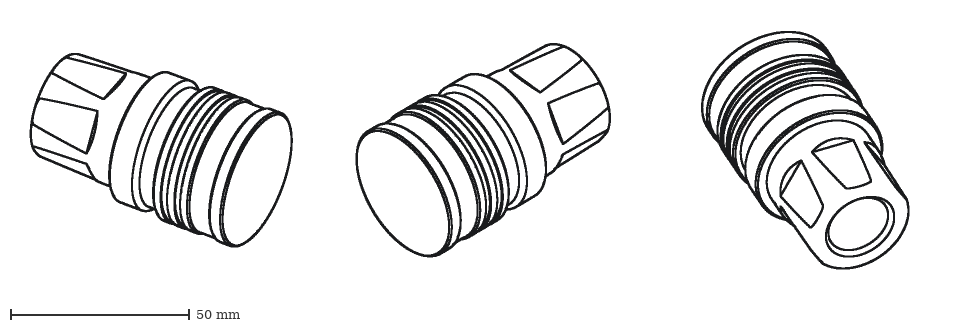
import cadquery as cq
import math

length = 65.15

nose_face_radius = 14.15
nose_rounding = 1.5
cone_start_radius = 15.4
cone_end = 21.8
shank_radius = 16.3
flat_count = 6
flat_distance = 14.85
flat_end = 19.0
flat_runout_angle = 45.0

collar_start = 28.1
collar_bevel_start = 35.75
neck_start = 37.25
collar_radius = 19.5
neck_radius = 17.85

sleeve_start = 42.6
sleeve_radius = 19.5
band_radius = 20.0
bands = [(sleeve_start, 45.35), (47.4, 49.8), (51.65, 54.4), (60.8, length)]
edge_chamfer = 0.5

bore_mouth_radius = 10.5
bore_radius = 9.2
bore_floor_radius = 8.9
bore_chamfer_depth = 1.3
bore_depth = 39.1


def revolve_about_x(points):
    """Revolve a closed (x, radius) outline about the X axis."""
    return cq.Workplane("XY").polyline(points).close().revolve(360, (0, 0, 0), (1, 0, 0))


def disc(start, end, radius):
    """Solid cylinder along X between two stations."""
    return cq.Workplane("YZ").workplane(offset=start).circle(radius).extrude(end - start)


def make_nose():
    quarter_mid = math.sqrt(0.5)
    middle = (
        nose_rounding * (1 - quarter_mid),
        nose_face_radius + (cone_start_radius - nose_face_radius) * quarter_mid,
    )
    return (
        cq.Workplane("XY")
        .lineTo(0, nose_face_radius)
        .threePointArc(middle, (nose_rounding, cone_start_radius))
        .lineTo(cone_end, shank_radius)
        .lineTo(collar_start, shank_radius)
        .lineTo(collar_start, 0)
        .close()
        .revolve(360, (0, 0, 0), (1, 0, 0))
    )


def make_flat_cutter():
    """Tool for the upper wrench flat, with a sloped run-out at its rear end."""
    height = band_radius - flat_distance
    runout = height / math.tan(math.radians(flat_runout_angle))
    return (
        cq.Workplane("XZ")
        .moveTo(0, flat_distance)
        .lineTo(flat_end, flat_distance)
        .lineTo(flat_end + runout, band_radius)
        .lineTo(0, band_radius)
        .close()
        .extrude(shank_radius, both=True)
    )


def make_collar():
    collar = revolve_about_x([
        (collar_start, 0),
        (collar_start, collar_radius - edge_chamfer),
        (collar_start + edge_chamfer, collar_radius),
        (collar_bevel_start, collar_radius),
        (neck_start, neck_radius),
        (neck_start, 0),
    ])
    return collar.union(disc(neck_start, sleeve_start, neck_radius))


def make_sleeve():
    sleeve = disc(sleeve_start, length, sleeve_radius)
    for start, end in bands:
        sleeve = sleeve.union(disc(start, end, band_radius))
    sleeve = sleeve.faces("<X or >X").edges().chamfer(edge_chamfer)
    recess_start = bands[2][1]
    recess_end = bands[3][0]
    step = band_radius - sleeve_radius
    for corner, direction in ((recess_start, -1), (recess_end, 1)):
        bevel_cut = revolve_about_x([
            (corner, sleeve_radius),
            (corner, band_radius),
            (corner + direction * step, band_radius),
        ])
        sleeve = sleeve.cut(bevel_cut)
    return sleeve


def make_bore():
    floor_bevel = bore_radius - bore_floor_radius
    return revolve_about_x([
        (0, 0),
        (0, bore_mouth_radius),
        (bore_chamfer_depth, bore_radius),
        (bore_depth - floor_bevel, bore_radius),
        (bore_depth, bore_floor_radius),
        (bore_depth, 0),
    ])


nose = make_nose()
flat_cutter = make_flat_cutter()
for index in range(flat_count):
    nose = nose.cut(flat_cutter.rotate((0, 0, 0), (1, 0, 0), index * 360 / flat_count))

result = nose.union(make_collar()).union(make_sleeve()).cut(make_bore())